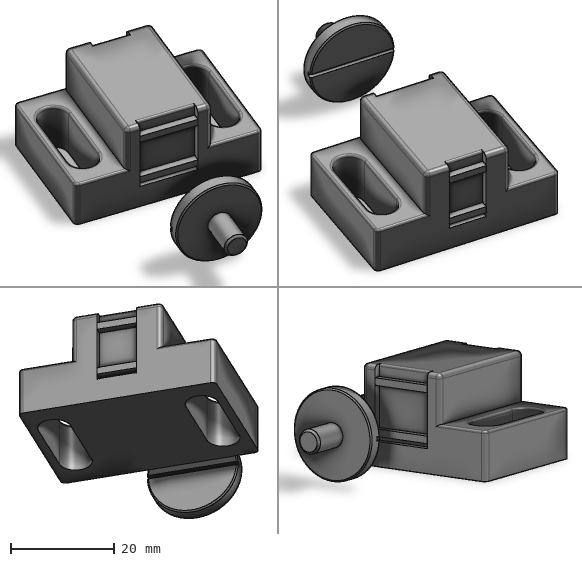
import cadquery as cq


housing_length = 28.0
base_width = 40.0
base_height = 10.0
tower_width = 18.4
tower_height = 2 * base_height
body_radius = 1.0
small_radius = 0.5

slot_width = 6.5
slot_straight = 13.4
slot_offset = 15.0

recess_depth = 1.4
recess_floor = 5.0
rear_recess_width = 8.0
front_recess_width = 12.4

plate_thickness = 1.5
lower_plate_bottom = 6.0
upper_plate_bottom = 16.05
plate_projection = 0.1

strike_gap = 20.0
disc_diameter = 18.4
disc_thickness = 3.0
disc_chamfer = 0.3
stem_diameter = 5.0
stem_chamfer = 0.5
total_length = 59.2
strike_height = tower_height - disc_diameter / 2
disc_face_x = housing_length + plate_projection + strike_gap
stem_length = total_length - plate_projection - disc_face_x - disc_thickness
driver_slot_width = 0.75
driver_slot_depth = 1.0


def block(width, height):
    """Full-length block on the mounting plane with rounded vertical edges."""
    return (
        cq.Workplane("XY")
        .box(housing_length, width, height, centered=(False, True, False))
        .edges("|Z")
        .fillet(body_radius)
    )


def make_base():
    """Flanged base; one rounding covers its outer top edges and the slot rims."""
    slots = (
        cq.Workplane("XY")
        .pushPoints([(housing_length / 2, side * slot_offset) for side in (-1, 1)])
        .slot2D(slot_straight + slot_width, slot_width)
        .extrude(base_height)
    )
    return block(base_width, base_height).cut(slots).faces(">Z").edges().fillet(small_radius)


def make_tower():
    return block(tower_width, tower_height).faces(">Z").edges().fillet(body_radius)


def end_recess(width):
    """Cutter for the recess in the X = 0 end, with its inner top edge rounded over."""
    return (
        cq.Workplane("XZ")
        .moveTo(0, recess_floor)
        .lineTo(recess_depth, recess_floor)
        .lineTo(recess_depth, tower_height - small_radius)
        .tangentArcPoint((recess_depth + small_radius, tower_height), relative=False)
        .lineTo(0, tower_height)
        .close()
        .extrude(width / 2, both=True)
    )


def plate_end(start_x, end_x, width, bottom):
    """Part of a pole plate that stands in an end recess."""
    return (
        cq.Workplane("XY")
        .box(end_x - start_x, width, plate_thickness, centered=(False, True, False))
        .translate((start_x, 0, bottom))
    )


def make_housing():
    body = make_base().union(make_tower())

    front_recess = end_recess(front_recess_width).mirror("YZ").translate((housing_length, 0, 0))
    body = body.cut(end_recess(rear_recess_width)).cut(front_recess)

    front_wall_x = housing_length - recess_depth
    front_plate_x = housing_length + plate_projection
    for bottom in (lower_plate_bottom, upper_plate_bottom):
        rear_end = plate_end(-plate_projection, recess_depth, rear_recess_width, bottom)
        front_end = plate_end(front_wall_x, front_plate_x, front_recess_width, bottom)
        body = body.union(rear_end).union(front_end)
    return body


def make_strike():
    disc = (
        cq.Workplane("YZ", origin=(disc_face_x, 0, strike_height))
        .circle(disc_diameter / 2)
        .extrude(disc_thickness)
        .edges()
        .chamfer(disc_chamfer)
    )
    stem = (
        cq.Workplane("YZ", origin=(disc_face_x + disc_thickness, 0, strike_height))
        .circle(stem_diameter / 2)
        .extrude(stem_length)
        .faces(">X")
        .chamfer(stem_chamfer)
    )
    driver_slot = (
        cq.Workplane("XY")
        .box(driver_slot_depth, disc_diameter, driver_slot_width, centered=(False, True, True))
        .translate((disc_face_x, 0, strike_height))
    )
    return disc.union(stem).cut(driver_slot)


housing = make_housing()
strike = make_strike()
result = cq.Compound.makeCompound([housing.val(), strike.val()])